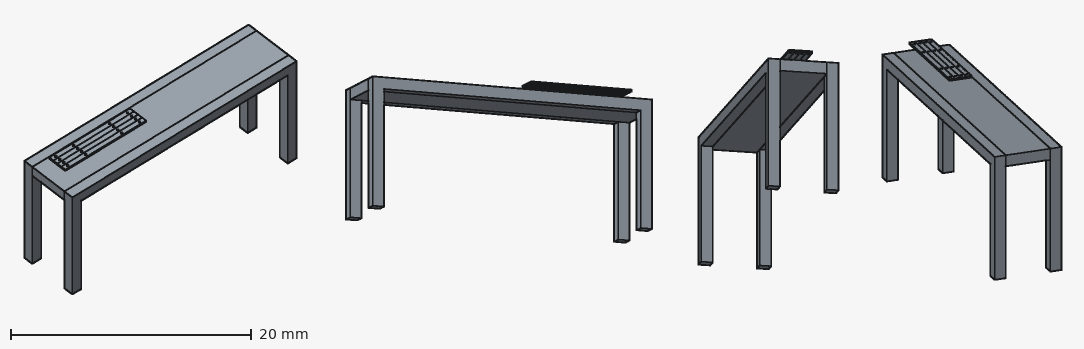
import cadquery as cq

bench_length = 25.0
bench_width = 6.0
bench_height = 11.0
beam = 1.0
panel_width = bench_width - 2 * beam

slat_count = 4
slat_width = 0.5
slat_length = 9.0
slat_thickness = 0.15
slat_clearance = 1.0
slat_front_inset = 1.0

hole_diameter = 0.15
outer_hole_inset = 0.5
inner_hole_inset = 2.5


def make_side_frame(x_start):
    """Rail with a leg at each end, as one upside-down U standing on Z = 0."""
    blank = cq.Workplane("XY").box(beam, bench_length, bench_height, centered=(True, True, False))
    opening = cq.Workplane("XY").box(
        beam, bench_length - 2 * beam, bench_height - beam, centered=(True, True, False)
    )
    return blank.cut(opening).translate((x_start + beam / 2, 0, 0))


def make_panel():
    """Flat top between the two side frames, flush with their rails."""
    panel = cq.Workplane("XY").box(panel_width, bench_length, beam, centered=(True, True, False))
    return panel.translate((0, 0, bench_height - beam))


def make_slat(x_center):
    """Thin strip with a row of four through holes along its centre line."""
    outer_hole_y = slat_length / 2 - outer_hole_inset
    inner_hole_y = slat_length / 2 - inner_hole_inset
    hole_centers = [(0, y) for y in (-outer_hole_y, -inner_hole_y, inner_hole_y, outer_hole_y)]
    slat = (
        cq.Workplane("XY")
        .rect(slat_width, slat_length)
        .extrude(slat_thickness)
        .faces(">Z")
        .workplane()
        .pushPoints(hole_centers)
        .hole(hole_diameter)
    )
    y_center = -bench_length / 2 + slat_front_inset + slat_length / 2
    return slat.translate((x_center, y_center, bench_height + slat_clearance))


side_frames = [make_side_frame(x) for x in (-bench_width / 2, bench_width / 2 - beam)]
panel = make_panel()
slats = [make_slat((i - (slat_count - 1) / 2) * slat_width) for i in range(slat_count)]

result = cq.Compound.makeCompound([body.val() for body in [*side_frames, panel, *slats]])